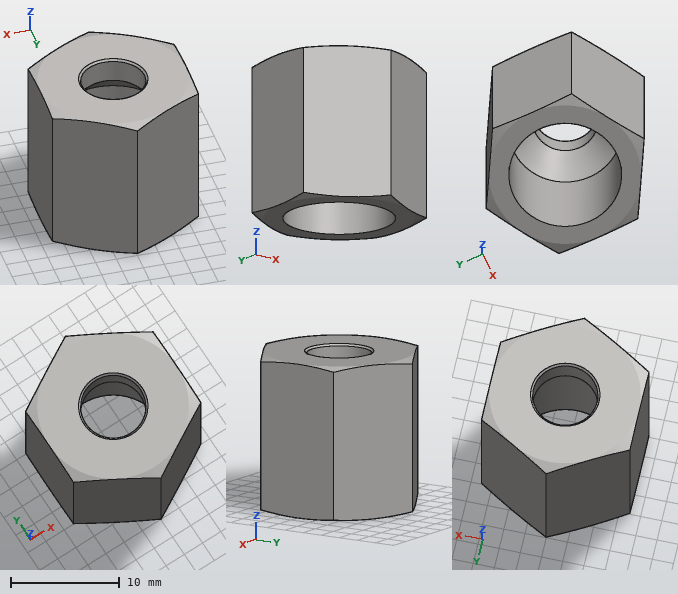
import cadquery as cq
import math

across_corners = 16.17
height = 14.5
corner_radius = across_corners / 2

end_face_diameter = 13.97
end_chamfer_angle = 15.0
end_face_radius = end_face_diameter / 2
end_chamfer_drop = (corner_radius - end_face_radius) * math.tan(math.radians(end_chamfer_angle))

hole_radius = 6.0 / 2
hole_chamfer = 0.2
hole_depth = 2.33
bore_radius = 10.38 / 2
shoulder_height = bore_radius - hole_radius


def revolve_profile(points):
    """Revolve a closed (radius, z) outline around the Z axis."""
    return cq.Workplane("XZ").polyline(points).close().revolve(360, (0, 0, 0), (0, 1, 0))


def hex_body():
    hexagon = cq.Workplane("XY").polygon(6, across_corners).extrude(height)
    hexagon = hexagon.rotate((0, 0, 0), (0, 0, 1), 30)
    chamfer_envelope = revolve_profile([
        (0, 0),
        (end_face_radius, 0),
        (corner_radius, end_chamfer_drop),
        (corner_radius, height - end_chamfer_drop),
        (end_face_radius, height),
        (0, height),
    ])
    return hexagon.intersect(chamfer_envelope)


def stepped_bore():
    shoulder_top = height - hole_depth
    return revolve_profile([
        (0, 0),
        (bore_radius, 0),
        (bore_radius, shoulder_top - shoulder_height),
        (hole_radius, shoulder_top),
        (hole_radius, height - hole_chamfer),
        (hole_radius + hole_chamfer, height),
        (0, height),
    ])


result = hex_body().cut(stepped_bore())